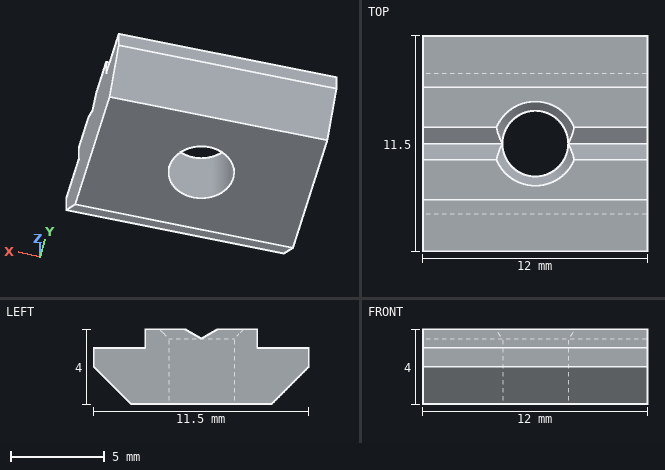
import cadquery as cq
import math

length = 12.0
width = 11.5
height = 4.0

rib_width = 6.0
rib_height = 1.0
bottom_chamfer = 2.0

groove_depth = 0.5
groove_angle = 120.0

hole_diameter = 3.5
countersink_diameter = 4.5

shoulder_z = height - rib_height
groove_half_width = groove_depth * math.tan(math.radians(groove_angle / 2))
countersink_leg = (countersink_diameter - hole_diameter) / 2


def make_body():
    """Extrude the bevelled, ribbed and grooved cross-section along X."""
    half_width = width / 2
    half_bottom = half_width - bottom_chamfer
    half_rib = rib_width / 2
    outline = [
        (-half_bottom, 0),
        (half_bottom, 0),
        (half_width, bottom_chamfer),
        (half_width, shoulder_z),
        (half_rib, shoulder_z),
        (half_rib, height),
        (groove_half_width, height),
        (0, height - groove_depth),
        (-groove_half_width, height),
        (-half_rib, height),
        (-half_rib, shoulder_z),
        (-half_width, shoulder_z),
        (-half_width, bottom_chamfer),
    ]
    profile = cq.Workplane("YZ").polyline(outline).close()
    return profile.extrude(length / 2, both=True)


def make_hole_cutter():
    """Revolve the through hole and its countersink about Z."""
    hole_radius = hole_diameter / 2
    outline = [
        (0, 0),
        (hole_radius, 0),
        (hole_radius, height - countersink_leg),
        (countersink_diameter / 2, height),
        (0, height),
    ]
    profile = cq.Workplane("XZ").polyline(outline).close()
    return profile.revolve(360, (0, 0, 0), (0, 1, 0))


result = make_body().cut(make_hole_cutter())